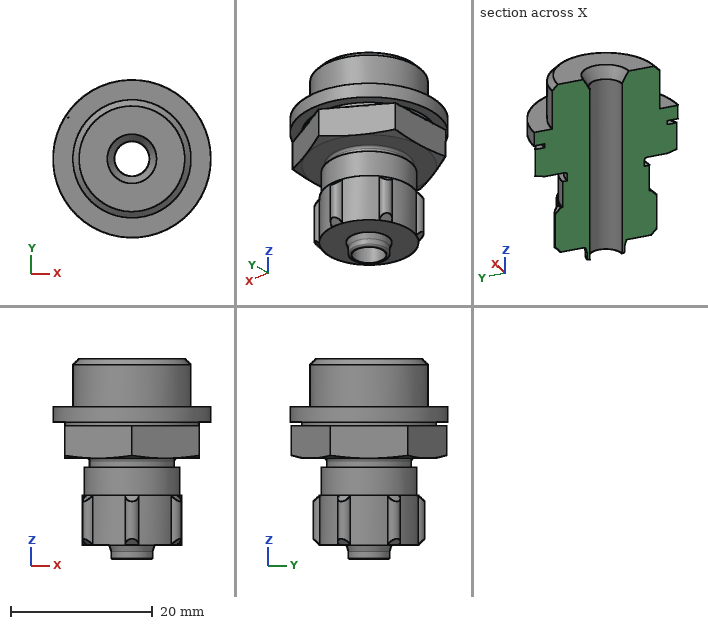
import cadquery as cq
import math

total_height = 28.3
stem_neck_z = 1.1
knob_bottom_z = 1.98
knob_top_z = 9.0
sleeve_top_z = 13.0
hex_bottom_z = 14.23
hex_top_z = 18.82
flange_bottom_z = 19.33
flange_top_z = 21.5

stem_diameter = 5.9
stem_root_diameter = 6.45
knob_diameter = 14.0
sleeve_diameter = 13.5
neck_diameter = 12.0
hex_across_flats = 19.02
collar_diameter = 19.0
flange_diameter = 22.3
head_diameter = 16.67
bore_diameter = 4.9
bore_mouth_diameter = 6.95

head_chamfer = 0.88
stem_tip_fillet = 0.25
neck_fillet = 0.37
bore_mouth_depth = 1.78
hex_chamfer_angle = 15.0

rib_count = 6
rib_radius = 0.95
rib_circle_diameter = 13.8
rib_bevel = 0.88
rib_first_angle = 90.0


def cylinder(diameter, bottom, top):
    """Solid cylinder on the Z axis between two heights."""
    return cq.Workplane("XY").workplane(offset=bottom).circle(diameter / 2).extrude(top - bottom)


def cone(bottom_diameter, top_diameter, bottom, top):
    """Solid truncated cone on the Z axis between two heights."""
    return (
        cq.Workplane("XZ")
        .moveTo(0, bottom)
        .lineTo(bottom_diameter / 2, bottom)
        .lineTo(top_diameter / 2, top)
        .lineTo(0, top)
        .close()
        .revolve(360, (0, 0, 0), (0, 1, 0))
    )


def make_stem():
    """Slim tip with a rounded end and a flared root under the knob."""
    tip = cylinder(stem_diameter, 0, stem_neck_z).faces("<Z").fillet(stem_tip_fillet)
    root = cone(stem_diameter, stem_root_diameter, stem_neck_z, knob_bottom_z)
    return tip.union(root)


def make_knob():
    """Round knob with rounded ribs whose ends are bevelled at 45 degrees."""
    ribs = (
        cq.Workplane("XY")
        .workplane(offset=knob_bottom_z)
        .polarArray(rib_circle_diameter / 2, rib_first_angle, 360, rib_count)
        .circle(rib_radius)
        .extrude(knob_top_z - knob_bottom_z)
    )
    outer_diameter = rib_circle_diameter + 2 * rib_radius
    envelope = cylinder(outer_diameter, knob_bottom_z, knob_top_z).edges().chamfer(rib_bevel)
    return cylinder(knob_diameter, knob_bottom_z, knob_top_z).union(ribs.intersect(envelope))


def make_neck():
    """Narrow neck above the sleeve, with a concave fillet where it meets the hexagon."""
    radius = neck_diameter / 2
    return (
        cq.Workplane("XZ")
        .moveTo(0, sleeve_top_z)
        .lineTo(radius, sleeve_top_z)
        .lineTo(radius, hex_bottom_z - neck_fillet)
        .radiusArc((radius + neck_fillet, hex_bottom_z), neck_fillet)
        .lineTo(0, hex_bottom_z)
        .close()
        .revolve(360, (0, 0, 0), (0, 1, 0))
    )


def make_hexagon():
    """Wrench hexagon, corners on the Y axis, with its lower corners bevelled."""
    across_corners = hex_across_flats / math.cos(math.radians(30))
    prism = (
        cq.Workplane("XY")
        .workplane(offset=hex_bottom_z)
        .polygon(6, across_corners)
        .extrude(hex_top_z - hex_bottom_z)
        .rotate((0, 0, 0), (0, 0, 1), 30)
    )
    bevel_run = (across_corners - hex_across_flats) / 2
    bevel_top_z = hex_bottom_z + bevel_run * math.tan(math.radians(hex_chamfer_angle))
    envelope = cone(hex_across_flats, across_corners, hex_bottom_z, bevel_top_z)
    envelope = envelope.union(cylinder(across_corners, bevel_top_z, hex_top_z))
    return prism.intersect(envelope)


def make_head():
    """Collar, flange and chamfered cylindrical head above the hexagon."""
    collar = cylinder(collar_diameter, hex_top_z, flange_bottom_z)
    flange = cylinder(flange_diameter, flange_bottom_z, flange_top_z)
    head = cylinder(head_diameter, flange_top_z, total_height).faces(">Z").chamfer(head_chamfer)
    return collar.union(flange).union(head)


def make_bore():
    """Through bore with a tapered mouth at the top."""
    mouth = cone(bore_diameter, bore_mouth_diameter, total_height - bore_mouth_depth, total_height)
    return cylinder(bore_diameter, 0, total_height).union(mouth)


sleeve = cylinder(sleeve_diameter, knob_top_z, sleeve_top_z)
body = make_stem().union(make_knob()).union(sleeve).union(make_neck())
body = body.union(make_hexagon()).union(make_head())
result = body.cut(make_bore())